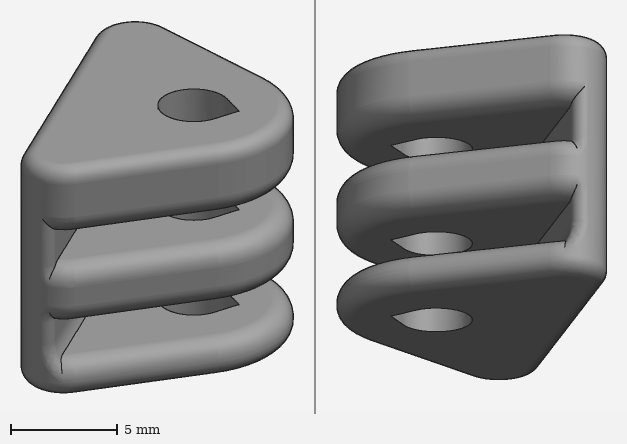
import cadquery as cq
import math

height = 12.0
axis_angle = 51.25

corner_radius = 2.0
corner_half_spacing = 6.285
nose_radius = 4.965
nose_to_corners = 4.325
nose_y = -0.29
rim_radius = 0.75

low_finger = (0.0, 1.8)
middle_finger = (3.8, 6.8)
top_finger = (8.5, height)
finger_edge_radius = 1.0

wall_edge_radius = 0.5
low_cove_radius = 1.94
low_cove_sweep = 55.0
middle_cove_radius = 0.95
middle_cove_sweep = 87.0

hole_radius = 1.7
hole_tip_half_angle = 50.5

corner_y = nose_y - nose_to_corners
back_y = corner_y - corner_radius
wall_front_y = corner_y
wall_half_length = corner_half_spacing + corner_radius
position_tolerance = 1e-4

axis_radians = math.radians(axis_angle)
along_axis = (math.cos(axis_radians), math.sin(axis_radians), 0)
across_axis = (math.sin(axis_radians), -math.cos(axis_radians), 0)
plan = cq.Plane(origin=(0, 0, 0), xDir=across_axis, normal=(0, 0, 1))
profile_plane = cq.Plane(origin=(0, 0, 0), xDir=along_axis, normal=across_axis)


def polar(center, radius, degrees):
    """Point on a circle, at an angle from the first axis."""
    angle = math.radians(degrees)
    return (center[0] + radius * math.cos(angle), center[1] + radius * math.sin(angle))


def outline(bottom, top):
    """Prism of the plan outline between two heights."""
    nose = (0, nose_y)
    right = (corner_half_spacing, corner_y)
    left = (-corner_half_spacing, corner_y)
    spread = math.hypot(corner_half_spacing, nose_to_corners)
    flank = math.degrees(
        math.acos((nose_radius - corner_radius) / spread)
        - math.atan2(nose_to_corners, corner_half_spacing)
    )
    corner_middle = (flank - 90) / 2
    return (
        cq.Workplane(plan)
        .workplane(offset=bottom)
        .moveTo(-corner_half_spacing, back_y)
        .lineTo(corner_half_spacing, back_y)
        .threePointArc(polar(right, corner_radius, corner_middle), polar(right, corner_radius, flank))
        .lineTo(*polar(nose, nose_radius, flank))
        .threePointArc(polar(nose, nose_radius, 90), polar(nose, nose_radius, 180 - flank))
        .lineTo(*polar(left, corner_radius, 180 - flank))
        .threePointArc(polar(left, corner_radius, 180 - corner_middle), (-corner_half_spacing, back_y))
        .close()
        .extrude(top - bottom)
    )


def finger(span, bottom_radius, top_radius):
    """One full-outline slab with its lower and upper edges rounded."""
    slab = outline(*span)
    slab = slab.faces("<Z").edges().fillet(bottom_radius)
    return slab.faces(">Z").edges().fillet(top_radius)


def cove_points(radius, end_height, rise, sweep):
    """Buried end, middle and wall tangent of a cove; rise is +1 where the wall continues upward."""
    center = (wall_front_y + radius, end_height + rise * radius)
    return [polar(center, radius, 180 + rise * angle) for angle in (sweep, sweep / 2, 0)]


def wall():
    """Back part of the outline, full height, with a coved front and rounded front edges."""
    middle_low_rim = middle_finger[0] + finger_edge_radius
    middle_high_rim = middle_finger[1] - finger_edge_radius
    low_end, low_middle, low_start = cove_points(low_cove_radius, rim_radius, 1, low_cove_sweep)
    under_end, under_middle, under_start = cove_points(
        middle_cove_radius, middle_low_rim, -1, middle_cove_sweep
    )
    over_end, over_middle, over_start = cove_points(
        middle_cove_radius, middle_high_rim, 1, middle_cove_sweep
    )
    profile = (
        cq.Workplane(profile_plane)
        .moveTo(back_y, 0)
        .lineTo(low_end[0], 0)
        .lineTo(*low_end)
        .threePointArc(low_middle, low_start)
        .lineTo(*under_start)
        .threePointArc(under_middle, under_end)
        .lineTo(*over_end)
        .threePointArc(over_middle, over_start)
        .lineTo(wall_front_y, height)
        .lineTo(back_y, height)
        .close()
        .extrude(wall_half_length, both=True)
    )
    block = outline(0, height).faces("<Z or >Z").edges().fillet(rim_radius).intersect(profile)

    def is_front_edge(edge):
        spot = plan.toLocalCoords(edge.Center())
        return math.isclose(spot.y, wall_front_y, abs_tol=position_tolerance)

    front_edges = [edge for edge in block.edges("|Z").vals() if is_front_edge(edge)]
    return block.newObject(front_edges).fillet(wall_edge_radius)


def pin_hole():
    """Teardrop cutter through the full height."""
    tip = (0, hole_radius / math.sin(math.radians(hole_tip_half_angle)))
    return (
        cq.Workplane(plan)
        .moveTo(*tip)
        .lineTo(*polar((0, 0), hole_radius, 180 - hole_tip_half_angle))
        .threePointArc((0, -hole_radius), polar((0, 0), hole_radius, hole_tip_half_angle))
        .close()
        .extrude(height)
    )


result = (
    finger(low_finger, rim_radius, finger_edge_radius)
    .union(finger(middle_finger, finger_edge_radius, finger_edge_radius))
    .union(finger(top_finger, finger_edge_radius, rim_radius))
    .union(wall())
    .cut(pin_hole())
)